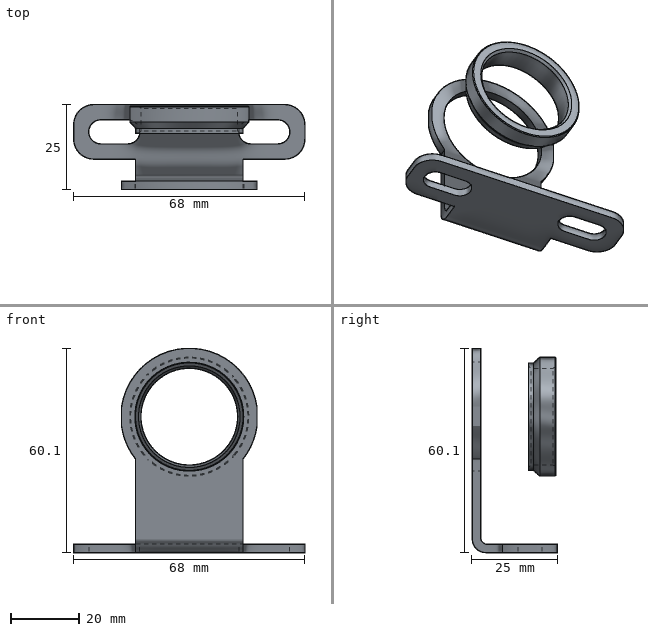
import cadquery as cq

thickness = 2.5
bend_inner_radius = 2.0
bend_outer_radius = 4.0
upright_width = 31.6
plate_ring_diameter = 40.25
plate_ring_width = 39.85
plate_hole_diameter = 32.0
overall_height = 60.1
axis_height = overall_height - plate_ring_diameter / 2

foot_length = 68
foot_width = 16.1
foot_back = 25.0
foot_corner_radius = 6.0
foot_center_y = foot_back - foot_width / 2
slot_length = 14.95
slot_width = 7.0
slot_end_margin = 4.5
slot_center_x = foot_length / 2 - slot_end_margin - slot_length / 2

ring_diameter = 35.0
spigot_diameter = 31.6
ring_bore_diameter = 28.35
ring_back = 24.55
ring_length = 8.0
spigot_length = 1.5
shoulder_length = 1.85
back_chamfer = 0.3
bore_chamfer = 0.75


def make_folded_strip():
    """L-shaped strip: upright, rounded bend and the middle of the foot."""
    strip = (
        cq.Workplane("YZ")
        .moveTo(0, axis_height)
        .lineTo(0, 0)
        .lineTo(foot_center_y, 0)
        .lineTo(foot_center_y, thickness)
        .lineTo(thickness, thickness)
        .lineTo(thickness, axis_height)
        .close()
        .extrude(upright_width / 2, both=True)
    )
    strip = strip.edges(cq.NearestToPointSelector((0, 0, 0))).fillet(bend_outer_radius)
    inner_corner = (0, thickness, thickness)
    return strip.edges(cq.NearestToPointSelector(inner_corner)).fillet(bend_inner_radius)


def make_foot():
    """Rounded foot plate."""
    return (
        cq.Workplane("XY")
        .center(0, foot_center_y)
        .rect(foot_length, foot_width)
        .extrude(thickness)
        .edges("|Z")
        .fillet(foot_corner_radius)
    )


def y_cylinder(diameter):
    """Disc on the ring axis, as thick as the upright."""
    return (
        cq.Workplane("XZ")
        .center(0, axis_height)
        .circle(diameter / 2)
        .extrude(-thickness)
    )


def make_plate_ring():
    """Round head of the upright, with a short vertical flat on each side."""
    flats = cq.Workplane("XY").box(plate_ring_width, 2 * thickness, 2 * overall_height)
    return y_cylinder(plate_ring_diameter).intersect(flats)


def make_bracket():
    """Folded strip, foot and round head, with the hole and two slots cut through."""
    slots = (
        cq.Workplane("XY")
        .pushPoints([(side * slot_center_x, foot_center_y) for side in (-1, 1)])
        .slot2D(slot_length, slot_width)
        .extrude(thickness)
    )
    return (
        make_folded_strip()
        .union(make_foot())
        .union(make_plate_ring())
        .cut(y_cylinder(plate_hole_diameter))
        .cut(slots)
    )


def make_ring():
    """Revolved ring: spigot, conical shoulder and cylindrical body."""
    front = ring_back - ring_length
    shoulder_start = front + spigot_length
    shoulder_end = shoulder_start + shoulder_length
    outer = ring_diameter / 2
    spigot = spigot_diameter / 2
    bore = ring_bore_diameter / 2
    profile = [
        (bore + bore_chamfer, front),
        (spigot, front),
        (spigot, shoulder_start),
        (outer, shoulder_end),
        (outer, ring_back - back_chamfer),
        (outer - back_chamfer, ring_back),
        (bore + bore_chamfer, ring_back),
        (bore, ring_back - bore_chamfer),
        (bore, front + bore_chamfer),
    ]
    return (
        cq.Workplane("XY")
        .polyline(profile)
        .close()
        .revolve(360, (0, 0, 0), (0, 1, 0))
        .translate((0, 0, axis_height))
    )


bracket = make_bracket()
ring = make_ring()
result = cq.Compound.makeCompound([bracket.val(), ring.val()])